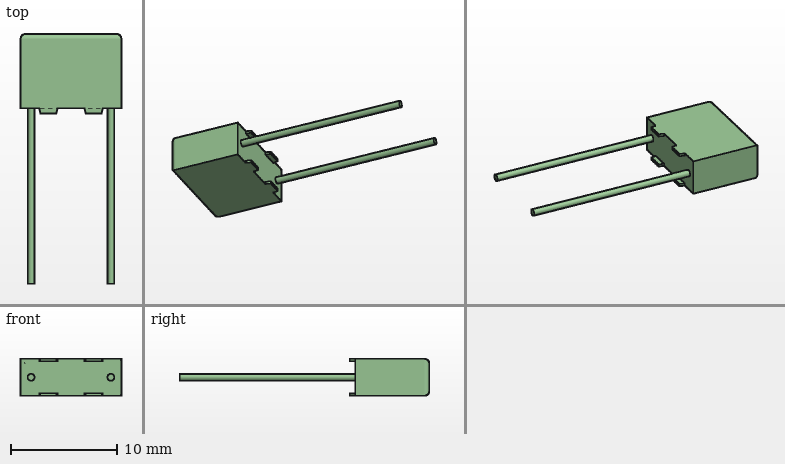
import cadquery as cq

HOUSING_WIDTH = 9.5
HOUSING_LENGTH = 7.0
HOUSING_THICKNESS = 3.5
END_FILLET = 0.5

FOOT_HEIGHT = 0.5
FOOT_ROOT_WIDTH = 1.75
FOOT_TIP_WIDTH = 1.5
FOOT_THICKNESS = 0.25
FOOT_SPACING = 4.25

LEAD_DIAMETER = 0.65
LEAD_SPACING = 7.5
LEAD_LENGTH = 16.5


def make_foot(center_x, bottom_z):
    """A flat foot that tapers towards its tip."""
    return (
        cq.Workplane("XY", origin=(center_x, 0, bottom_z))
        .moveTo(-FOOT_ROOT_WIDTH / 2, 0)
        .lineTo(-FOOT_TIP_WIDTH / 2, -FOOT_HEIGHT)
        .lineTo(FOOT_TIP_WIDTH / 2, -FOOT_HEIGHT)
        .lineTo(FOOT_ROOT_WIDTH / 2, 0)
        .close()
        .extrude(FOOT_THICKNESS)
    )


def make_housing():
    """The box with rounded edges at its far end and four feet on its base."""
    housing = (
        cq.Workplane("XY")
        .box(HOUSING_WIDTH, HOUSING_LENGTH, HOUSING_THICKNESS, centered=(True, False, True))
        .faces(">Y")
        .edges()
        .fillet(END_FILLET)
    )
    lower_face_z = -HOUSING_THICKNESS / 2
    upper_foot_z = HOUSING_THICKNESS / 2 - FOOT_THICKNESS
    for side in (-1, 1):
        for bottom_z in (lower_face_z, upper_foot_z):
            housing = housing.union(make_foot(side * FOOT_SPACING / 2, bottom_z))
    return housing


def make_lead(center_x):
    """A round wire that starts on the base and runs towards -Y."""
    return (
        cq.Workplane("XZ", origin=(center_x, 0, 0))
        .circle(LEAD_DIAMETER / 2)
        .extrude(LEAD_LENGTH)
    )


housing = make_housing()
leads = [make_lead(side * LEAD_SPACING / 2) for side in (-1, 1)]

result = cq.Compound.makeCompound([housing.val(), *[lead.val() for lead in leads]])